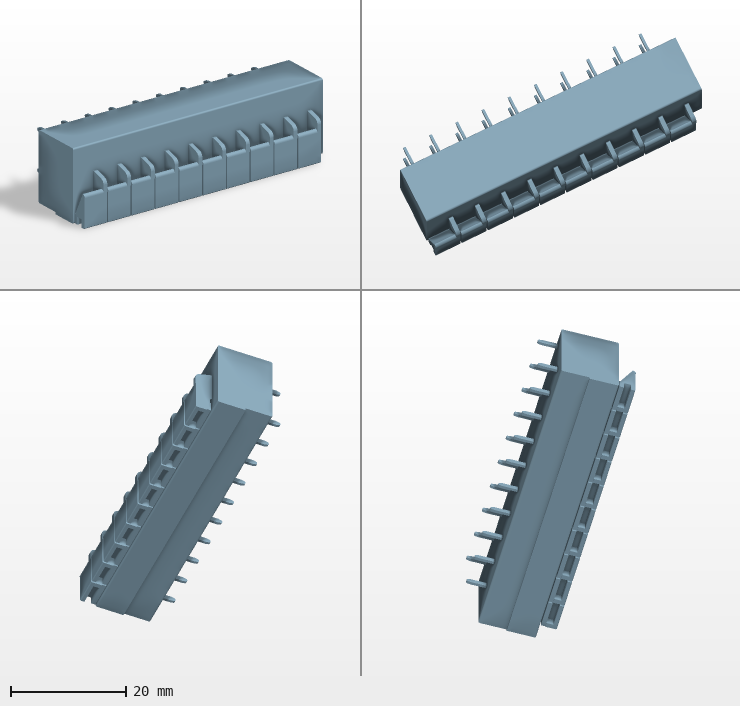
import cadquery as cq
import math

length = 53.35
pole_count = 10
pitch = length / (pole_count + 0.5)

body_depth = 10.4
body_height = 14.25
pin_side_round = 0.45
lever_side_round = 0.3
foot_height = 0.45
foot_start = 5.1

pin_length = 3.6
pin_height = 0.95
pin_thickness = 0.5
pin_tip_length = 0.75
pin_tip_height = 0.75
pin_row_heights = (4.8, 12.55)
pin_root = 0.55

lever_start = 0.2
lever_end = pitch - 0.05
lever_reach = 3.15
lever_front = 3.05
lever_top = 9.0
rib_width = 0.8
rib_flat = 0.4
rib_slope_end = 2.35
rib_slope_drop = 0.6
rib_nose_bottom = 7.45
lever_shoulder = 5.9
rib_back = 0.3
rib_joint_bottom = 3.15
rib_joint_slant = 0.25
lever_clearance = 0.15
toe_lift = 0.15
wedge_low = 2.0
wedge_crest_start = 2.55
wedge_high = 6.5
wedge_crest_bulge = 0.15
notch_start = 0.95
notch_end = 2.25
notch_height = 1.6
toe_chamfer = 0.15


def extrude_along_y(profile, y_start, y_end):
    """Extrude a closed XZ profile from y_start to y_end."""
    return profile.extrude(y_start - y_end).translate((0, y_start, 0))


def make_housing():
    profile = (
        cq.Workplane("XZ")
        .moveTo(foot_start, 0)
        .lineTo(body_depth, 0)
        .lineTo(body_depth, body_height)
        .lineTo(0, body_height)
        .lineTo(0, foot_height)
        .lineTo(foot_start, foot_height)
        .close()
    )
    housing = extrude_along_y(profile, 0, length)
    housing = housing.faces("<X").edges("|Y").fillet(pin_side_round)
    return housing.faces(">X").edges("|Y").fillet(lever_side_round)


def make_pin(y_center, z_center):
    half_height = pin_height / 2
    tip_radius = pin_tip_height / 2
    tip_start_x = tip_radius - pin_length
    shoulder_x = pin_tip_length - pin_length
    profile = (
        cq.Workplane("XZ")
        .moveTo(pin_root, -half_height)
        .lineTo(pin_root, half_height)
        .lineTo(shoulder_x, half_height)
        .lineTo(tip_start_x, tip_radius)
        .threePointArc((-pin_length, 0), (tip_start_x, -tip_radius))
        .lineTo(shoulder_x, -half_height)
        .close()
    )
    pin = extrude_along_y(profile, -pin_thickness / 2, pin_thickness / 2)
    return pin.translate((0, y_center, z_center))


def make_rib(y_start, y_end):
    """Side rib that joins the lever to the housing."""
    slope_end_height = lever_top - rib_slope_drop
    profile = (
        cq.Workplane("XZ")
        .moveTo(0, rib_joint_bottom)
        .lineTo(0, lever_top)
        .lineTo(rib_flat, lever_top)
        .lineTo(rib_slope_end, slope_end_height)
        .tangentArcPoint((lever_reach, rib_nose_bottom), relative=False)
        .lineTo(lever_reach, lever_shoulder)
        .lineTo(lever_front, lever_shoulder)
        .lineTo(lever_front, toe_chamfer)
        .lineTo(lever_front - toe_chamfer, 0)
        .lineTo(notch_start, 0)
        .lineTo(notch_start, toe_lift)
        .lineTo(lever_clearance, toe_lift)
        .lineTo(lever_clearance, wedge_low)
        .lineTo(rib_back, wedge_low)
        .lineTo(rib_back, rib_joint_bottom - rib_joint_slant)
        .close()
    )
    return extrude_along_y(profile, y_start, y_end)


def make_wedge(y_start, y_end):
    """Sloped push face with a notch in its lower edge."""
    crest_run = lever_reach - wedge_crest_start
    crest_drop = wedge_high - lever_shoulder
    crest_chord = math.hypot(crest_run, crest_drop)
    crest_middle = (
        (wedge_crest_start + lever_reach) / 2 + wedge_crest_bulge * crest_drop / crest_chord,
        (wedge_high + lever_shoulder) / 2 + wedge_crest_bulge * crest_run / crest_chord,
    )
    profile = (
        cq.Workplane("XZ")
        .moveTo(lever_clearance, toe_lift)
        .lineTo(lever_clearance, wedge_low)
        .lineTo(rib_back, wedge_low)
        .lineTo(wedge_crest_start, wedge_high)
        .threePointArc(crest_middle, (lever_reach, lever_shoulder))
        .lineTo(lever_front, lever_shoulder)
        .lineTo(lever_front, toe_chamfer)
        .lineTo(lever_front - toe_chamfer, 0)
        .lineTo(notch_end, 0)
        .lineTo(notch_end, notch_height)
        .lineTo(notch_start, notch_height)
        .lineTo(notch_start, toe_lift)
        .close()
    )
    return extrude_along_y(profile, y_start, y_end)


def make_lever():
    rib_start = lever_end - rib_width
    lever = make_rib(rib_start, lever_end).union(make_wedge(lever_start, rib_start))
    return lever.translate((body_depth, 0, 0))


result = make_housing()
lever = make_lever()
for pole in range(pole_count):
    result = result.union(lever.translate((0, pole * pitch, 0)))
    for row_height in pin_row_heights:
        result = result.union(make_pin((pole + 0.5) * pitch, row_height))